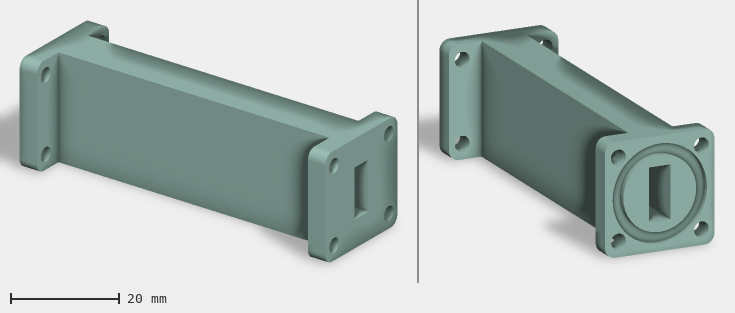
import cadquery as cq

length = 70.0
flange_side = 22.4
flange_thickness = 4.0
flange_corner_radius = 2.0
body_width = 9.0
half_length = length / 2

bore_width = 4.35
bore_height = 10.65

bolt_diameter = 3.0
bolt_spacing_y = 17.0
bolt_spacing_z = 16.25

groove_outer_diameter = 19.3
groove_inner_diameter = 14.9
groove_depth = 1.4


def plane_at(x):
    """Sketch plane facing +X: local x runs along Y, local y along Z."""
    return cq.Workplane("YZ", origin=(x, 0, 0))


def flange(start_x):
    """Rounded square plate with four bolt holes, extending toward +X."""
    plate = plane_at(start_x).rect(flange_side, flange_side).extrude(flange_thickness)
    plate = plate.edges("|X").fillet(flange_corner_radius)
    bolts = (
        plane_at(start_x)
        .rect(bolt_spacing_y, bolt_spacing_z, forConstruction=True)
        .vertices()
        .circle(bolt_diameter / 2)
        .extrude(flange_thickness)
    )
    return plate.cut(bolts)


body_length = length - 2 * flange_thickness
body_start = -half_length + flange_thickness
result = plane_at(body_start).rect(body_width, flange_side).extrude(body_length)

for flange_start in (-half_length, half_length - flange_thickness):
    result = result.union(flange(flange_start))

result = result.cut(plane_at(-half_length).rect(bore_width, bore_height).extrude(length))

groove = (
    plane_at(-half_length)
    .circle(groove_outer_diameter / 2)
    .circle(groove_inner_diameter / 2)
    .extrude(groove_depth)
)
result = result.cut(groove)